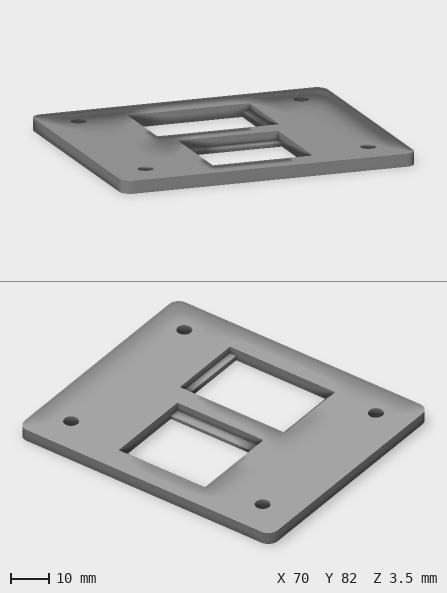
import cadquery as cq

width = 70.0
length = 82.0
thickness = 3.5
corner_radius = 3.0

hole_diameter = 4.2
hole_spacing_x = 50.0
hole_spacing_y = 62.1

window_offset = 15.0

left_center = (-window_offset, 0)
left_width = 22.1
left_recess_length = 34.0
left_opening_length = 30.0
left_ledge_thickness = 1.5

right_center = (window_offset, 0.5)
right_length = 27.9
right_recess_width = 26.0
right_opening_width = 20.2
right_ledge_thickness = 1.0


def cut_window(body, center, opening, recess, ledge_thickness):
    """Cut a through opening and a wider recess that stops at the ledges."""
    body = body.cut(cq.Workplane("XY").center(*center).rect(*opening).extrude(thickness))
    pocket = (
        cq.Workplane("XY", origin=(0, 0, ledge_thickness))
        .center(*center)
        .rect(*recess)
        .extrude(thickness - ledge_thickness)
    )
    return body.cut(pocket)


plate = cq.Workplane("XY").rect(width, length).extrude(thickness)
plate = plate.edges("|Z").fillet(corner_radius)

plate = (
    plate.faces(">Z")
    .workplane(origin=(0, 0, thickness))
    .rect(hole_spacing_x, hole_spacing_y, forConstruction=True)
    .vertices()
    .hole(hole_diameter)
)

plate = cut_window(
    plate,
    left_center,
    (left_width, left_opening_length),
    (left_width, left_recess_length),
    left_ledge_thickness,
)
result = cut_window(
    plate,
    right_center,
    (right_opening_width, right_length),
    (right_recess_width, right_length),
    right_ledge_thickness,
)